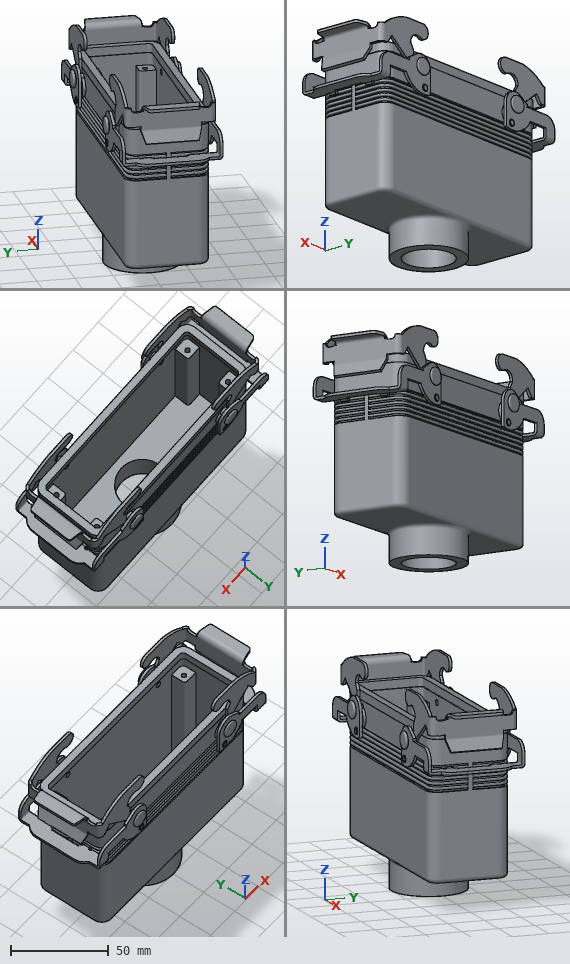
import cadquery as cq
import math


BODY_X = 120.1
BODY_Y = 44.1
BODY_BOTTOM = 16.2
BODY_TOP = 97.0
CORNER_RADIUS = 6.3
BOTTOM_ROUND = 2.2
RIM_HEIGHT = 4.9
RIM_X = 121.1
RIM_Y = 44.2

FLOOR_THICKNESS = 4.0
MOUTH_X = 112.9
MOUTH_Y = 36.0
MOUTH_RADIUS = 2.2
UNDERCUT = 0.7
CAVITY_X = MOUTH_X + 2 * UNDERCUT
CAVITY_Y = MOUTH_Y + 2 * UNDERCUT
CAVITY_RADIUS = 2.6
CAVITY_FLOOR = BODY_BOTTOM + FLOOR_THICKNESS

COLLAR_RADIUS = 20.3
COLLAR_BLEND = 2.0
BORE_RADIUS = 14.1

GROOVE_BOTTOM = 64.2
GROOVE_HEIGHT = 1.1
GROOVE_DEPTH = 1.3
RIB_HEIGHT = 1.5
RIB_ROUND = 0.3
GROOVE_COUNT = 6
END_BRIDGE = 2.6

POST_SIZE = 8.8
POST_TOP = 85.2
POST_ROUND = 1.5
SCREW_X = 52.0
SCREW_Y = 13.5
SCREW_RADIUS = 1.3
SCREW_DEPTH = 14.7
DRILL_ANGLE = 118.0

PIVOT_X = -37.5
PIVOT_Z = 87.7
PIN_RADIUS = 1.6
SHANK_RADIUS = 2.5
HEAD_RADIUS = 4.7
HEAD_HEIGHT = 1.5
HEAD_ROUND = 0.6
HEAD_FACE = 28.5

SHEET = 1.6
BRACKET_OUTER = 23.8
LEVER_OUTER = 26.5

WEB_X = -65.8
WEB_BOTTOM = 95.4
WEB_TOP = 105.4
BRACKET_BEND = 2.8
DIP_Z = 103.2
DIP_INNER = 15.0
DIP_OUTER = 21.0
DIP_ROUND = 2.0
TAB_END_X = -73.5
TAB_END_HALF = 13.2
TAB_CORNER = 1.8
TAB_TOP = 106.8
TAB_BEND = 1.6
SKIRT_HALF = 15.9
SKIRT_TIP_HALF = 13.7
SKIRT_FOLD = 93.0
SKIRT_TIP = 86.1
SKIRT_FOLD_RADIUS = 1.5
SKIRT_LEAN = 3.1

HOOK_TOP = 113.0
HOOK_BACK_MID = (-55.0, 110.5)
HOOK_BACK_END_X = -46.1
NECK_OFFSET = 3.1
NECK_TOP = 97.0
HEEL_Z = 88.8
NOTCH_PEAK = (-57.6, 99.8)
NOTCH_END_X = -61.1
HOOK_TIP_RADIUS = 4.3
HOOK_TIP_X = -33.0
MOUTH_ARC_RADIUS = 5.3
MOUTH_ARC_Z = 100.4
FOOT_RADIUS = 5.6
FOOT_Z = 83.5

ARM_LEFT = -69.0
ARM_RIGHT = -61.9
ARM_TOP = 89.0
ARM_BOTTOM = 82.0
SHOULDER_X = -46.9
SHOULDER_Z = 90.5
LEVER_HEAD_RADIUS = 7.2
SHOULDER_ANGLE = 115
BELLY_X = -35.3
BELLY_Z = 89.5
BELLY_RADIUS = 16.0
LEVER_BEND = 2.2
STRIP_BOTTOM = 75.7
STRIP_SHEET = 1.5
STRIP_END_X = -72.5
STRIP_END_HALF = 12.6
STRIP_FLARE_MID = (-71.1, -16.9)
STRIP_FLARE_START = 19.3
STRIP_FILLET = 1.5
STRIP_NOTCH_X = -62.6
STRIP_NOTCH_OUTER = 15.6
STRIP_INNER_X = -64.4
TONGUE_INNER = 10.0
TONGUE_OUTER = 14.1
TONGUE_END_X = -60.3
TONGUE_DROP = 0.9
BOSS_X = -34.5
BOSS_Z = 77.2
BOSS_RADIUS = 1.9
BOSS_HEIGHT = 0.5
BOSS_CHAMFER = 0.37


def on_circle(center_x, center_z, radius, degrees):
    """Point on a circle in the XZ plane."""
    angle = math.radians(degrees)
    return (center_x + radius * math.cos(angle), center_z + radius * math.sin(angle))


def rounded_block(size_x, size_y, radius, bottom, top):
    """Upright block with rounded vertical edges, centred on the Z axis."""
    return (
        cq.Workplane("XY").workplane(offset=bottom)
        .rect(size_x, size_y).extrude(top - bottom)
        .edges("|Z").fillet(radius)
    )


def along_y(radius, x, z, start, end):
    """Cylinder along -Y that runs from y = -start to y = -end."""
    return (
        cq.Workplane("XZ").workplane(offset=start)
        .center(x, z).circle(radius).extrude(end - start)
    )


def both_sides(solid):
    """Pair the -Y half of a feature with its mirror image."""
    return solid.union(solid.mirror("XZ"))


def make_shell():
    """Outer body with its rim, bottom rounding and cable collar."""
    body = rounded_block(BODY_X, BODY_Y, CORNER_RADIUS, BODY_BOTTOM, BODY_TOP)
    body = body.faces("<Z").edges().fillet(BOTTOM_ROUND)
    collar = cq.Workplane("XY").circle(COLLAR_RADIUS).extrude(CAVITY_FLOOR)
    body = body.union(collar)
    margin = 0.1
    reach = COLLAR_RADIUS + margin
    joint = cq.selectors.BoxSelector(
        (-reach, -reach, BODY_BOTTOM - margin),
        (reach, reach, BODY_BOTTOM + BOTTOM_ROUND),
        boundingbox=True,
    )
    body = body.edges(joint).fillet(COLLAR_BLEND)
    rim = rounded_block(RIM_X, RIM_Y, CORNER_RADIUS, BODY_TOP - RIM_HEIGHT, BODY_TOP)
    return body.union(rim)


def make_groove_cutter():
    """Band around the body less the round-edged ribs and the two end bridges."""
    pitch = GROOVE_HEIGHT + RIB_HEIGHT
    band_top = GROOVE_BOTTOM + GROOVE_COUNT * pitch - RIB_HEIGHT
    margin = 7.3
    band = (
        cq.Workplane("XY").workplane(offset=GROOVE_BOTTOM)
        .rect(BODY_X + margin, BODY_Y + margin).extrude(band_top - GROOVE_BOTTOM)
    )
    core = rounded_block(
        BODY_X - 2 * GROOVE_DEPTH, BODY_Y - 2 * GROOVE_DEPTH,
        CORNER_RADIUS - GROOVE_DEPTH, GROOVE_BOTTOM, band_top,
    )
    band = band.cut(core)
    for index in range(1, GROOVE_COUNT):
        rib_bottom = GROOVE_BOTTOM + index * pitch - RIB_HEIGHT
        rib = rounded_block(BODY_X, BODY_Y, CORNER_RADIUS, rib_bottom, rib_bottom + RIB_HEIGHT)
        rib = rib.edges("not |Z").fillet(RIB_ROUND)
        band = band.cut(rib)
    bridge = (
        cq.Workplane("XY").workplane(offset=GROOVE_BOTTOM)
        .rect(BODY_X + margin, END_BRIDGE).extrude(band_top - GROOVE_BOTTOM)
    )
    return band.cut(bridge)


def make_posts():
    """Four corner posts in the cavity, each with a blind screw hole."""
    height = POST_TOP - CAVITY_FLOOR
    tip = SCREW_RADIUS / math.tan(math.radians(DRILL_ANGLE / 2))
    posts = cq.Workplane("XY")
    for side_x in (-1, 1):
        for side_y in (-1, 1):
            post = (
                cq.Workplane("XY").workplane(offset=CAVITY_FLOOR)
                .center(side_x * (CAVITY_X - POST_SIZE) / 2, side_y * (CAVITY_Y - POST_SIZE) / 2)
                .rect(POST_SIZE, POST_SIZE).extrude(height)
            )
            inward = ("<X" if side_x > 0 else ">X") + " and " + ("<Y" if side_y > 0 else ">Y")
            post = post.edges("|Z").edges(inward).fillet(POST_ROUND)
            hole = (
                cq.Workplane("XZ")
                .polyline([
                    (0, POST_TOP),
                    (SCREW_RADIUS, POST_TOP),
                    (SCREW_RADIUS, POST_TOP - SCREW_DEPTH),
                    (0, POST_TOP - SCREW_DEPTH - tip),
                ])
                .close().revolve(360, (0, 0), (0, 1))
                .translate((side_x * SCREW_X, side_y * SCREW_Y, 0))
            )
            posts = posts.add(post.cut(hole))
    return posts.combine()


def make_housing():
    rim_bottom = BODY_TOP - RIM_HEIGHT
    cavity = rounded_block(CAVITY_X, CAVITY_Y, CAVITY_RADIUS, CAVITY_FLOOR, rim_bottom)
    mouth = rounded_block(MOUTH_X, MOUTH_Y, MOUTH_RADIUS, rim_bottom, BODY_TOP)
    bore = cq.Workplane("XY").circle(BORE_RADIUS).extrude(CAVITY_FLOOR)
    shell = make_shell().cut(cavity).cut(mouth).cut(make_groove_cutter())
    shell = shell.union(make_posts().intersect(cavity)).cut(bore)
    for side in (-1, 1):
        pin_hole = along_y(PIN_RADIUS, side * PIVOT_X, PIVOT_Z, -BODY_Y, BODY_Y)
        shell = shell.cut(pin_hole)
    return shell


def make_hook_plate():
    """Hook-shaped side plate of the bracket at -Y, with a round foot at the pivot."""
    tip_z = HOOK_TOP - HOOK_TIP_RADIUS
    toward_mouth = math.degrees(math.atan2(MOUTH_ARC_Z - tip_z, PIVOT_X - HOOK_TIP_X))
    throat = on_circle(HOOK_TIP_X, tip_z, HOOK_TIP_RADIUS, toward_mouth)
    neck_x = PIVOT_X - NECK_OFFSET
    foot_left = PIVOT_X - FOOT_RADIUS
    return (
        cq.Workplane("XZ").workplane(offset=BRACKET_OUTER - SHEET)
        .moveTo(WEB_X + BRACKET_BEND, WEB_BOTTOM)
        .lineTo(WEB_X + BRACKET_BEND, WEB_TOP)
        .threePointArc(HOOK_BACK_MID, (HOOK_BACK_END_X, HOOK_TOP))
        .lineTo(HOOK_TIP_X, HOOK_TOP)
        .threePointArc((HOOK_TIP_X + HOOK_TIP_RADIUS, tip_z), throat)
        .threePointArc(
            on_circle(PIVOT_X, MOUTH_ARC_Z, MOUTH_ARC_RADIUS, 135),
            (PIVOT_X - MOUTH_ARC_RADIUS, MOUTH_ARC_Z),
        )
        .lineTo(neck_x, NECK_TOP)
        .lineTo(neck_x, FOOT_Z + math.sqrt(FOOT_RADIUS ** 2 - (neck_x - PIVOT_X) ** 2))
        .threePointArc(
            on_circle(PIVOT_X, FOOT_Z, FOOT_RADIUS, 45), (PIVOT_X + FOOT_RADIUS, FOOT_Z))
        .threePointArc((PIVOT_X, FOOT_Z - FOOT_RADIUS), (foot_left, FOOT_Z))
        .lineTo(foot_left, HEEL_Z)
        .lineTo(*NOTCH_PEAK)
        .lineTo(NOTCH_END_X, WEB_BOTTOM)
        .close().extrude(SHEET)
    )


def make_web():
    """End wall of the bracket with its two bent corners and dipped top edge."""
    height = WEB_TOP - WEB_BOTTOM
    depth = 4 * BRACKET_BEND
    base = cq.Workplane("XY").workplane(offset=WEB_BOTTOM)
    outer = (
        base.center(WEB_X + depth / 2, 0).rect(depth, 2 * BRACKET_OUTER)
        .extrude(height).edges("|Z").fillet(BRACKET_BEND)
    )
    inner = (
        base.center(WEB_X + SHEET + depth / 2, 0).rect(depth, 2 * (BRACKET_OUTER - SHEET))
        .extrude(height).edges("|Z and <X").fillet(BRACKET_BEND - SHEET)
    )
    end_zone = base.center(WEB_X, 0).rect(2 * BRACKET_BEND, 4 * BRACKET_OUTER).extrude(height)
    web = outer.cut(inner).intersect(end_zone)
    dip_width = DIP_OUTER - DIP_INNER
    for side in (-1, 1):
        dip = (
            cq.Workplane("YZ").workplane(offset=WEB_X - SHEET)
            .center(side * (DIP_INNER + DIP_OUTER) / 2, DIP_Z + BRACKET_BEND)
            .rect(dip_width, 2 * BRACKET_BEND).extrude(3 * SHEET)
            .edges("|X").fillet(DIP_ROUND)
        )
        web = web.cut(dip)
    fold_space = (
        cq.Workplane("XY").workplane(offset=TAB_TOP - SHEET - TAB_BEND)
        .center(WEB_X, 0).rect(4 * SHEET, 2 * DIP_INNER).extrude(height)
    )
    return web.cut(fold_space)


def make_tab():
    """Finger tab that folds outward from the top of the web."""
    fold_z = TAB_TOP - SHEET - TAB_BEND
    fold_x = WEB_X - TAB_BEND
    tab = (
        cq.Workplane("XZ").workplane(offset=-DIP_INNER)
        .moveTo(WEB_X, WEB_BOTTOM).lineTo(WEB_X, fold_z)
        .threePointArc(on_circle(fold_x, fold_z, TAB_BEND, 45), (fold_x, fold_z + TAB_BEND))
        .lineTo(TAB_END_X, TAB_TOP - SHEET).lineTo(TAB_END_X, TAB_TOP).lineTo(fold_x, TAB_TOP)
        .threePointArc(
            on_circle(fold_x, fold_z, TAB_BEND + SHEET, 45), (fold_x + TAB_BEND + SHEET, fold_z))
        .lineTo(WEB_X + SHEET, WEB_BOTTOM)
        .close().extrude(2 * DIP_INNER)
    )
    plan = (
        cq.Workplane("XY").workplane(offset=WEB_BOTTOM)
        .polyline([
            (WEB_X + SHEET, -DIP_INNER), (TAB_END_X, -TAB_END_HALF),
            (TAB_END_X, TAB_END_HALF), (WEB_X + SHEET, DIP_INNER),
        ])
        .close().extrude(TAB_TOP - WEB_BOTTOM)
        .edges("|Z and <X").fillet(TAB_CORNER)
    )
    return tab.intersect(plan)


def make_skirt():
    """Tapered spring skirt that leans outward below the web."""
    skirt = (
        cq.Workplane("XZ").workplane(offset=-SKIRT_HALF)
        .polyline([
            (WEB_X, WEB_BOTTOM), (WEB_X, SKIRT_FOLD),
            (WEB_X - SKIRT_LEAN, SKIRT_TIP + SHEET / 2), (WEB_X + SHEET - SKIRT_LEAN, SKIRT_TIP),
            (WEB_X + SHEET, SKIRT_FOLD), (WEB_X + SHEET, WEB_BOTTOM),
        ])
        .close().extrude(2 * SKIRT_HALF)
    )
    fold_edges = cq.selectors.BoxSelector(
        (WEB_X - SHEET, -SKIRT_HALF, SKIRT_FOLD - SHEET / 2),
        (WEB_X + 2 * SHEET, SKIRT_HALF, SKIRT_FOLD + SHEET / 2),
    )
    skirt = skirt.edges("|Y").edges(fold_edges).fillet(SKIRT_FOLD_RADIUS)
    taper = (
        cq.Workplane("YZ").workplane(offset=WEB_X - 2 * SKIRT_LEAN)
        .polyline([
            (-SKIRT_HALF, WEB_BOTTOM), (-SKIRT_HALF, SKIRT_FOLD), (-SKIRT_TIP_HALF, SKIRT_TIP),
            (SKIRT_TIP_HALF, SKIRT_TIP), (SKIRT_HALF, SKIRT_FOLD), (SKIRT_HALF, WEB_BOTTOM),
        ])
        .close().extrude(4 * SKIRT_LEAN)
    )
    return skirt.intersect(taper)


def make_lever_plate():
    """Side plate of the lever at -Y: pivot head, belly, arm and boss."""
    arm_radius = ARM_TOP - ARM_BOTTOM
    right = PIVOT_X + LEVER_HEAD_RADIUS
    belly_right_z = BELLY_Z - math.sqrt(BELLY_RADIUS ** 2 - (right - BELLY_X) ** 2)
    belly_left_x = BELLY_X - math.sqrt(BELLY_RADIUS ** 2 - (BELLY_Z - ARM_BOTTOM) ** 2)
    bend_top = STRIP_BOTTOM + LEVER_BEND
    plate = (
        cq.Workplane("XZ").workplane(offset=LEVER_OUTER - SHEET)
        .moveTo(ARM_LEFT, bend_top).lineTo(ARM_LEFT, ARM_BOTTOM)
        .threePointArc(
            on_circle(ARM_LEFT + arm_radius, ARM_BOTTOM, arm_radius, 135),
            (ARM_LEFT + arm_radius, ARM_TOP),
        )
        .lineTo(SHOULDER_X, ARM_TOP).lineTo(SHOULDER_X, SHOULDER_Z)
        .lineTo(*on_circle(PIVOT_X, PIVOT_Z, LEVER_HEAD_RADIUS, SHOULDER_ANGLE))
        .threePointArc(on_circle(PIVOT_X, PIVOT_Z, LEVER_HEAD_RADIUS, 60), (right, PIVOT_Z))
        .lineTo(right, belly_right_z)
        .threePointArc(
            on_circle(BELLY_X, BELLY_Z, BELLY_RADIUS, 240), (belly_left_x, ARM_BOTTOM))
        .lineTo(ARM_RIGHT, ARM_BOTTOM).lineTo(ARM_RIGHT, bend_top)
        .close().extrude(SHEET)
    )
    boss = along_y(BOSS_RADIUS, BOSS_X, BOSS_Z, LEVER_OUTER - SHEET, LEVER_OUTER + BOSS_HEIGHT)
    return plate.union(boss.faces("<Y").edges().chamfer(BOSS_CHAMFER))


def make_lever_bend():
    """Quarter bend that joins the lever plate at -Y to the strip."""
    center_y = -(LEVER_OUTER - LEVER_BEND)
    center_z = STRIP_BOTTOM + LEVER_BEND
    half = math.sqrt(0.5)
    inside_y = LEVER_BEND - SHEET
    inside_z = LEVER_BEND - STRIP_SHEET
    return (
        cq.Workplane("YZ").workplane(offset=ARM_LEFT)
        .moveTo(-LEVER_OUTER, center_z)
        .threePointArc(
            (center_y - LEVER_BEND * half, center_z - LEVER_BEND * half), (center_y, STRIP_BOTTOM))
        .lineTo(center_y, STRIP_BOTTOM + STRIP_SHEET)
        .threePointArc(
            (center_y - inside_y * half, center_z - inside_z * half), (center_y - inside_y, center_z))
        .close().extrude(ARM_RIGHT - ARM_LEFT)
    )


def make_strip_half():
    """-Y half of the strip that joins both lever plates, with its inner tongue."""
    edge_y = -(LEVER_OUTER - LEVER_BEND)
    strip = (
        cq.Workplane("XY").workplane(offset=STRIP_BOTTOM)
        .moveTo(ARM_RIGHT, edge_y).lineTo(ARM_LEFT, edge_y).lineTo(ARM_LEFT, -STRIP_FLARE_START)
        .threePointArc(STRIP_FLARE_MID, (STRIP_END_X, -STRIP_END_HALF))
        .lineTo(STRIP_END_X, 0).lineTo(STRIP_INNER_X, 0)
        .lineTo(STRIP_INNER_X, STRIP_FILLET - TONGUE_INNER)
        .radiusArc((STRIP_INNER_X + STRIP_FILLET, -TONGUE_INNER), STRIP_FILLET)
        .lineTo(STRIP_NOTCH_X, -TONGUE_INNER).lineTo(STRIP_NOTCH_X, -STRIP_NOTCH_OUTER)
        .lineTo(ARM_RIGHT, -STRIP_NOTCH_OUTER)
        .close().extrude(STRIP_SHEET)
    )
    top = STRIP_BOTTOM + STRIP_SHEET
    tongue = (
        cq.Workplane("XZ").workplane(offset=TONGUE_INNER)
        .polyline([
            (STRIP_NOTCH_X, STRIP_BOTTOM), (STRIP_NOTCH_X, top), (ARM_RIGHT, top),
            (TONGUE_END_X, top - TONGUE_DROP), (TONGUE_END_X, STRIP_BOTTOM - TONGUE_DROP),
            (ARM_RIGHT, STRIP_BOTTOM - TONGUE_DROP),
        ])
        .close().extrude(TONGUE_OUTER - TONGUE_INNER)
    )
    return strip.union(tongue)


def make_pin():
    """Pivot pin at -Y: thin end in the housing wall, shank and rounded head."""
    bracket_inner = BRACKET_OUTER - SHEET
    pin = along_y(PIN_RADIUS, PIVOT_X, PIVOT_Z, CAVITY_Y / 2, BRACKET_OUTER)
    shank = along_y(SHANK_RADIUS, PIVOT_X, PIVOT_Z, bracket_inner, HEAD_FACE - HEAD_HEIGHT)
    head = along_y(HEAD_RADIUS, PIVOT_X, PIVOT_Z, HEAD_FACE - HEAD_HEIGHT, HEAD_FACE)
    return pin.union(shank).union(head.edges().fillet(HEAD_ROUND))


def make_latch():
    """One latch at the -X end: bracket and lever fixed to a pair of pivot pins."""
    side = make_hook_plate().union(make_pin()).union(make_lever_plate()).union(make_lever_bend())
    side = side.union(make_strip_half())
    latch = both_sides(side)
    return latch.union(make_web()).union(make_tab()).union(make_skirt())


housing = make_housing()
latches = []
for turn in (0, 180):
    latches.append(make_latch().rotate((0, 0, 0), (0, 0, 1), turn))

result = cq.Compound.makeCompound([housing.val(), *[latch.val() for latch in latches]])